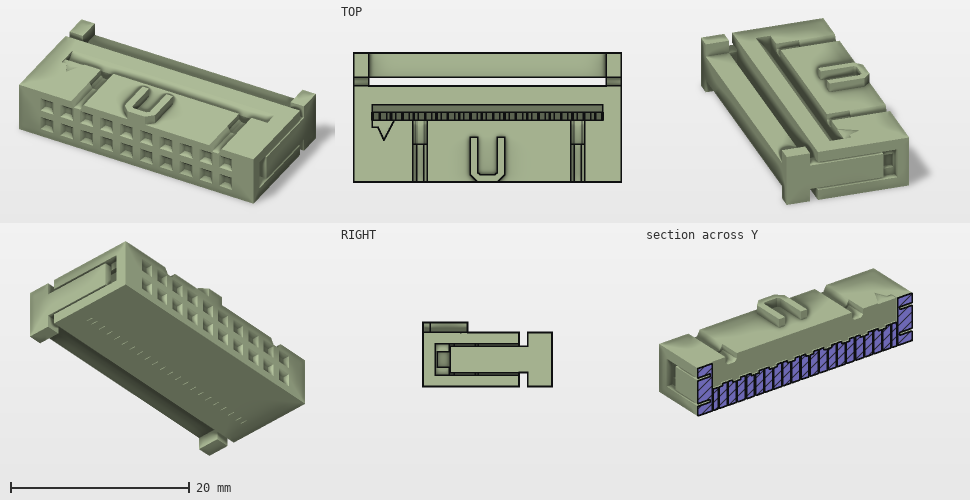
import cadquery as cq
import math

LENGTH = 30.0
DEPTH = 14.5
HEIGHT = 7.2

BODY_DEPTH = 10.8
BODY_HEIGHT = 6.1
MID_X = LENGTH / 2
MID_Z = BODY_HEIGHT / 2

COVER_FRONT = 11.73
EAR_WIDTH = 1.7
ARM_HEIGHT = 2.97
ARM_TIP = 3.05

RECESS_FRONT = 1.4
RECESS_HEIGHT = 3.55
NEAR_FLOOR = 0.85
MIDDLE_FLOOR = 1.35
NEAR_RAMP = (2.95, 3.55)
FAR_RAMP = (5.85, 6.2)
WINDOW_FRONT = 1.6
WINDOW_BACK = 3.9
WINDOW_HEIGHT = 1.7
WINDOW_FLOOR = 1.45

COLUMNS = 10
ROWS = 2
PITCH = 2.54
SOCKET_SIZE = 1.65
SOCKET_FLOOR_SIZE = 0.78
SOCKET_DEPTH = (SOCKET_SIZE - SOCKET_FLOOR_SIZE) / 2

SLOT_END = 2.07
SLOT_FRONT = 6.95
WELL_WIDTH = 0.87
SLOT_SLOPE = 0.87
WELL_DEPTH = 3.3
STEP_HEIGHT = 0.3
STEP_WIDTH = 1.5
SLIT_WIDTH = 0.1
WIRE_PITCH = PITCH / 2

GROOVE_CENTRES = (7.45, 25.1)
GROOVE_WIDTH = 1.6
GROOVE_FLOOR_WIDTH = 0.78
GROOVE_DEPTH = 0.75
POCKET_FRONT = 4.25
POCKET_WALL = 0.72
POCKET_SLOPE = 0.27
POCKET_SLOPE_ANGLE = 45

MARK_DEPTH = 0.12
MARK_SIDE_Y = 6.15
MARK_CORNER_X = 2.73
MARK_TIP = (3.4, 4.7)
MARK_RIGHT_X = 4.55

KEY_WIDTH = 3.9
KEY_LENGTH = 5.0
KEY_WALL = 0.85
KEY_OUTER_CHAMFER = 0.85
KEY_INNER_CHAMFER = 0.27


def box(x0, x1, y0, y1, z0, z1):
    """Box between two opposite corners."""
    return cq.Workplane("XY").box(x1 - x0, y1 - y0, z1 - z0, centered=False).translate((x0, y0, z0))


def both_ends(shape):
    """The shape together with its mirror image at the other end of the part."""
    return shape.union(shape.mirror("YZ", (MID_X, 0, 0)))


def end_step_prism(front, back, height):
    """Prism that fills an end recess from front to back, centred on mid height."""
    near_start, near_end = NEAR_RAMP
    far_start, far_end = FAR_RAMP
    slope = (MIDDLE_FLOOR - NEAR_FLOOR) / (near_end - near_start)
    if front > near_start:
        inner_start = [(NEAR_FLOOR + slope * (front - near_start), front)]
    else:
        inner_start = [(NEAR_FLOOR, front), (NEAR_FLOOR, near_start)]
    points = [(0, front)] + inner_start + [
        (MIDDLE_FLOOR, near_end),
        (MIDDLE_FLOOR, far_start),
        (EAR_WIDTH, far_end),
        (EAR_WIDTH, back),
        (0, back),
    ]
    plan = cq.Workplane("XY", origin=(0, 0, MID_Z - height / 2))
    return plan.polyline(points).close().extrude(height)


def latch_recesses():
    """Stepped recess and latch window cut into both end faces."""
    recess = end_step_prism(RECESS_FRONT, BODY_DEPTH, RECESS_HEIGHT)
    low = MID_Z - WINDOW_HEIGHT / 2
    window = box(0, WINDOW_FLOOR, WINDOW_FRONT, WINDOW_BACK, low, low + WINDOW_HEIGHT)
    return both_ends(recess.union(window))


def cover():
    """Cover bar with its ears, and latch arms that lie on the recess floors."""
    low = MID_Z - ARM_HEIGHT / 2
    bar = box(0, LENGTH, COVER_FRONT, DEPTH, low, low + ARM_HEIGHT)
    ear = box(0, EAR_WIDTH, COVER_FRONT, DEPTH, 0, BODY_HEIGHT)
    arm = end_step_prism(ARM_TIP, COVER_FRONT, ARM_HEIGHT)
    return bar.union(both_ends(ear.union(arm)))


def sockets():
    """Grid of square lead-ins that taper to a flat floor."""
    lead_in = (
        cq.Workplane("XZ")
        .rect(SOCKET_SIZE, SOCKET_SIZE)
        .workplane(offset=-SOCKET_DEPTH)
        .rect(SOCKET_FLOOR_SIZE, SOCKET_FLOOR_SIZE)
        .loft(ruled=True)
    )
    grid = cq.Workplane("XY")
    for column in range(COLUMNS):
        for row in range(ROWS):
            x = MID_X + (column - (COLUMNS - 1) / 2) * PITCH
            z = MID_Z + (row - (ROWS - 1) / 2) * PITCH
            grid = grid.add(lead_in.translate((x, 0, z)))
    return grid.combine()


def cable_slot():
    """Slot for the cable, stepped at every second wire, with a slit through the part at each wire."""
    well_back = SLOT_FRONT + WELL_WIDTH
    well_floor = BODY_HEIGHT - WELL_DEPTH
    slot = (
        cq.Workplane("YZ", origin=(SLOT_END, 0, 0))
        .moveTo(SLOT_FRONT, BODY_HEIGHT)
        .lineTo(SLOT_FRONT, well_floor)
        .lineTo(well_back, well_floor)
        .lineTo(well_back, BODY_HEIGHT - SLOT_SLOPE)
        .lineTo(well_back + SLOT_SLOPE, BODY_HEIGHT)
        .close()
        .extrude(LENGTH - 2 * SLOT_END)
    )
    step_top = well_floor + STEP_HEIGHT
    end_slit = box(SLOT_END, SLOT_END + SLIT_WIDTH, SLOT_FRONT, well_back, 0, step_top)
    slits = both_ends(end_slit)
    wires = COLUMNS * ROWS
    for wire in range(wires):
        x = MID_X + (wire - (wires - 1) / 2) * WIRE_PITCH
        slits = slits.union(
            box(x - SLIT_WIDTH / 2, x + SLIT_WIDTH / 2, SLOT_FRONT, well_back, 0, step_top)
        )
        if wire % 2 == 0:
            slot = slot.cut(
                box(x - STEP_WIDTH / 2, x + STEP_WIDTH / 2, SLOT_FRONT, well_back, well_floor, step_top)
            )
    return slot.union(slits)


def top_groove(centre):
    """Tapered groove from the mating face that deepens into a round-cornered pocket at the slot."""
    top = GROOVE_WIDTH / 2
    floor = GROOVE_FLOOR_WIDTH / 2
    groove = (
        cq.Workplane("XZ", origin=(centre, 0, BODY_HEIGHT))
        .polyline([(-top, 0), (-floor, -GROOVE_DEPTH), (floor, -GROOVE_DEPTH), (top, 0)])
        .close()
        .extrude(-SLOT_FRONT)
    )
    slope_end = top - POCKET_SLOPE
    arc_start_z = -POCKET_WALL - POCKET_SLOPE * math.tan(math.radians(POCKET_SLOPE_ANGLE))
    arc_drop = (slope_end - floor) * math.tan(math.radians(POCKET_SLOPE_ANGLE / 2))
    pocket_floor_z = arc_start_z - arc_drop
    pocket = (
        cq.Workplane("XZ", origin=(centre, POCKET_FRONT, BODY_HEIGHT))
        .moveTo(-top, 0)
        .lineTo(-top, -POCKET_WALL)
        .lineTo(-slope_end, arc_start_z)
        .tangentArcPoint((-floor, pocket_floor_z), relative=False)
        .lineTo(floor, pocket_floor_z)
        .tangentArcPoint((slope_end, arc_start_z), relative=False)
        .lineTo(top, -POCKET_WALL)
        .lineTo(top, 0)
        .close()
        .extrude(POCKET_FRONT - SLOT_FRONT)
    )
    return groove.union(pocket)


def pin_one_mark():
    """Shallow triangle and corner relief beside the slot."""
    return (
        cq.Workplane("XY", origin=(0, 0, BODY_HEIGHT - MARK_DEPTH))
        .polyline([
            (SLOT_END, SLOT_FRONT),
            (SLOT_END, MARK_SIDE_Y),
            (MARK_CORNER_X, MARK_SIDE_Y),
            MARK_TIP,
            (MARK_RIGHT_X, SLOT_FRONT),
        ])
        .close()
        .extrude(MARK_DEPTH)
    )


def key():
    """Raised U on the top face, open towards the slot."""
    opening_half = KEY_WIDTH / 2 - KEY_WALL
    left = MID_X - KEY_WIDTH / 2
    right = MID_X + KEY_WIDTH / 2
    block = box(left, right, 0, KEY_LENGTH, BODY_HEIGHT, HEIGHT)
    block = block.edges("|Z and <Y").chamfer(KEY_OUTER_CHAMFER)
    opening = box(MID_X - opening_half, MID_X + opening_half, KEY_WALL, KEY_LENGTH, BODY_HEIGHT, HEIGHT)
    return block.cut(opening.edges("|Z and <Y").chamfer(KEY_INNER_CHAMFER))


body = box(0, LENGTH, 0, BODY_DEPTH, 0, BODY_HEIGHT)
body = body.cut(latch_recesses()).cut(sockets()).cut(cable_slot()).cut(pin_one_mark())
for groove_centre in GROOVE_CENTRES:
    body = body.cut(top_groove(groove_centre))

result = body.union(key()).union(cover())